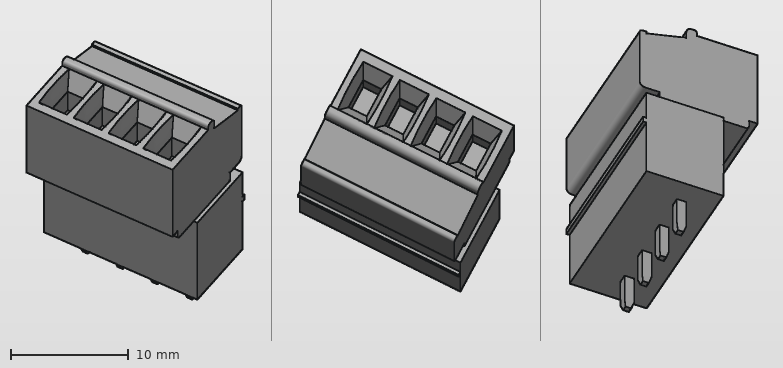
import cadquery as cq

height = 22.1
depth = 11.1
ways = 4
pitch = 3.5

header_width = 15.4
header_back = 5.08
header_front = -2.17
header_bottom = 3.4
header_top = 12.57
back_rib_depth = 0.3
back_rib_bottom = 9.08
back_rib_height = 0.57

pin_width = 0.86
pin_depth = 0.88
pin_y = 0.82
pin_tip_length = 0.6
pin_tip_width = 0.5
pin_tip_depth = 0.55

plug_width = 14.67
plug_back = depth / 2
plug_front = -depth / 2
plug_bottom = 13.53
plug_top = 21.53
plug_back_radius = 0.5
foot_back = 3.65
foot_front = -4.73
foot_radius = 0.33
lip_top = 20.1
lip_front = 4.9
lip_radius = 0.29
slope_bottom = 19.91
slope_top = 20.9
ridge_back = 1.15
ridge_front = 0.15
ridge_back_radius = 0.5
ridge_front_radius = 0.29

mouth_width = 2.78
mouth_length = 4.82
mouth_bulge = 0.1
well_width = 1.75
well_length = 2.7
mouth_depth = 1.57
well_depth = 2.2
pocket_y = ridge_front - mouth_length / 2

way_positions = [(i - (ways - 1) / 2) * pitch for i in range(ways)]


def make_header():
    """Plain block with a thin rib along its back face."""
    block = cq.Workplane("XY").box(
        header_width,
        header_back - header_front,
        header_top - header_bottom,
        centered=(True, False, False),
    ).translate((0, header_front, header_bottom))
    rib = cq.Workplane("XY").box(
        header_width, back_rib_depth, back_rib_height, centered=(True, False, False)
    ).translate((0, header_back, back_rib_bottom))
    return block.union(rib)


def make_pin(x):
    """Rectangular pin with a tapered tip."""
    shank = (
        cq.Workplane("XY", origin=(x, pin_y, pin_tip_length))
        .rect(pin_width, pin_depth)
        .extrude(header_bottom - pin_tip_length)
    )
    tip = (
        cq.Workplane("XY", origin=(x, pin_y, 0))
        .rect(pin_tip_width, pin_tip_depth)
        .workplane(offset=pin_tip_length)
        .rect(pin_width, pin_depth)
        .loft(combine=True)
    )
    return shank.union(tip)


def make_plug():
    """Side profile extruded across X, then rounded along its long edges."""
    profile = [
        (plug_front, plug_bottom),
        (foot_front, plug_bottom),
        (foot_front, header_top),
        (foot_back, header_top),
        (foot_back, plug_bottom),
        (plug_back, plug_bottom),
        (plug_back, lip_top),
        (lip_front, lip_top),
        (lip_front, slope_bottom),
        (ridge_back, slope_top),
        (ridge_back, height),
        (ridge_front, height),
        (ridge_front, plug_top),
        (plug_front, plug_top),
    ]
    rounded_corners = [
        (foot_front, header_top, foot_radius),
        (plug_back, plug_bottom, plug_back_radius),
        (plug_back, lip_top, lip_radius),
        (ridge_back, height, ridge_back_radius),
        (ridge_front, height, ridge_front_radius),
    ]
    plug = cq.Workplane("YZ").polyline(profile).close().extrude(plug_width / 2, both=True)
    for y, z, radius in rounded_corners:
        nearest = cq.selectors.NearestToPointSelector((0, y, z))
        plug = plug.edges("|X").edges(nearest).fillet(radius)
    return plug


def make_pocket(x):
    """Cutter whose bowed mouth sides run down to a straight rectangular well."""
    half_width = mouth_width / 2
    half_length = mouth_length / 2
    bulge_x = half_width + mouth_bulge
    half_well_width = well_width / 2
    half_well_length = well_length / 2
    mouth = (
        cq.Workplane("XY", origin=(x, pocket_y, plug_top))
        .moveTo(-half_width, -half_length)
        .lineTo(half_width, -half_length)
        .threePointArc((bulge_x, 0), (half_width, half_length))
        .lineTo(-half_width, half_length)
        .threePointArc((-bulge_x, 0), (-half_width, -half_length))
        .close()
        .workplane(offset=-mouth_depth)
        .moveTo(-half_well_width, -half_well_length)
        .lineTo(half_well_width, -half_well_length)
        .lineTo(half_well_width, half_well_length)
        .lineTo(-half_well_width, half_well_length)
        .close()
        .loft(ruled=True, combine=True)
    )
    well = (
        cq.Workplane("XY", origin=(x, pocket_y, plug_top - mouth_depth))
        .rect(well_width, well_length)
        .extrude(-well_depth)
    )
    return mouth.union(well)


plug = make_plug()
header = make_header()
for way_x in way_positions:
    plug = plug.cut(make_pocket(way_x))
    header = header.union(make_pin(way_x))

result = header.union(plug)